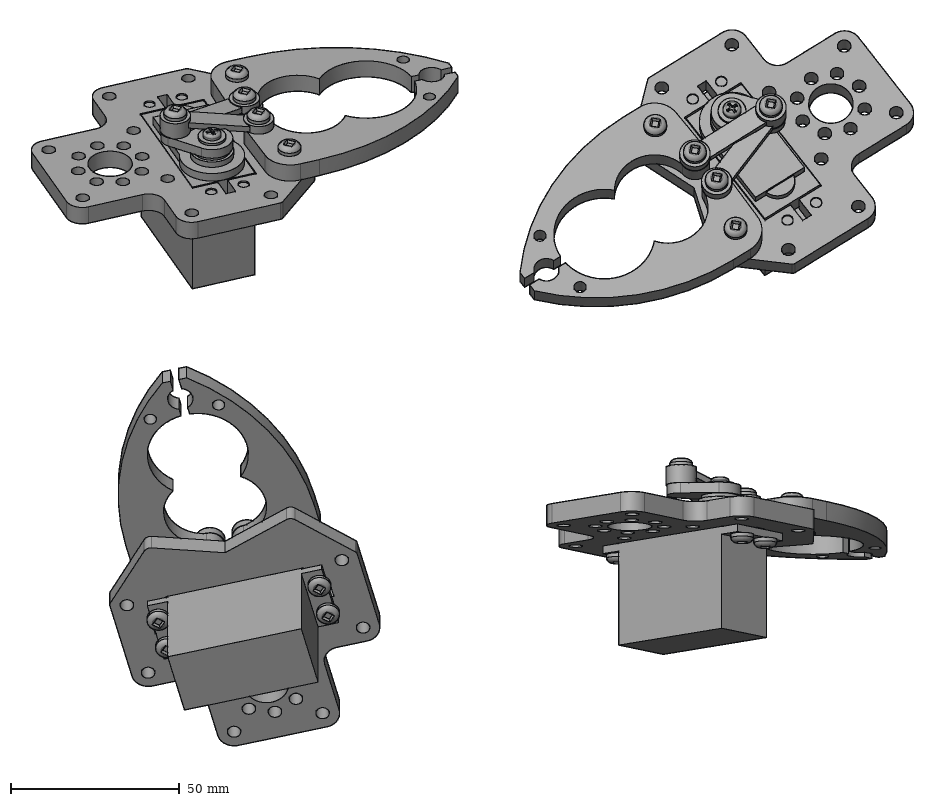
import cadquery as cq
import math


plate_thickness = 5.9
plate_width = 75.7
plate_half_width = plate_width / 2
tab_half_width = 18.6
wing_front_y = 27.2
wing_back_y = 59.1
notch_y = 68.7
plate_horn_x = 22.0
plate_horn_y = 76.4
plate_corner_radius = 5.0
wing_back_radius = 1.3
plate_horn_radius = 2.3
plate_hole_diameter = 4.0
wing_hole_x = 32.9
wing_hole_ys = (32.2, 57.5)
tab_hole_x = 13.5
tab_hole_ys = (5.2, 32.2)
wrist_y = 19.3
wrist_bore_diameter = 13.2
wrist_circle_radius = 10.2
wrist_hole_count = 8

servo_length = 40.9
servo_half_length = servo_length / 2
servo_front_y = 37.4
servo_back_y = 57.4
servo_bottom_z = -30.7
window_end_gap = 0.5
window_front_gap = 0.1
window_back_gap = 0.3
flange_thickness = 2.3
flange_half_length = 26.7
mount_y = 47.0
mount_screw_x = 24.6
mount_screw_pitch = 10.3
mount_hole_diameter = 3.4
mount_shank_recess = 0.5
slot_half_length = 27.3
slot_width = 3.1
gearbox_left_x = -14.2
gearbox_width = 17.7
gearbox_height = 2.7
gearbox_radius = 9.7
idler_x = -12.9
idler_radius = 5.2
idler_height = 1.9
shaft_x = 10.7
shaft_y = 47.6
collar_radius = 6.5
collar_height = 1.9
neck_radius = 5.5

jaw_thickness = 5.8
jaw_half_gap = 1.3
jaw_tip_y = 129.0
jaw_tip_x = 3.7
jaw_bottom_y = 60.5
jaw_pivot_x = 20.9
jaw_pivot_y = 68.2
jaw_heel_radius = 8.0
jaw_side_top_y = 74.5
jaw_eye_x = 5.7
jaw_eye_y = 64.5
jaw_eye_radius = jaw_eye_x - jaw_half_gap
upper_grip_y = 101.1
upper_grip_radius = 15.0
grip_cusp_x = 10.3
lower_grip_x = 15.3
lower_grip_y = 80.9
tip_grip_y = 122.0
tip_grip_radius = 3.7
jaw_hole_x = 10.5
jaw_hole_y = 117.1
jaw_hole_diameter = 3.6

horn_bottom_z = 11.7
horn_thickness = 3.1
horn_hub_radius = 6.2
horn_pin_x = 3.0
horn_pin_y = 39.0
horn_pin_radius = 4.3
horn_washer_radius = 4.1
horn_washer_height = 0.8
link_eye_radius = 4.5
link_eye_thickness = 2.7
link_arm_width = 6.3
link_arm_thickness = 1.9

head_diameter = 6.8
head_radius = head_diameter / 2
head_height = 2.5
head_rim_share = 0.45
head_flat_radius = 1.8
dome_bulge_share = 0.65
diamond_diagonal = 3.9
diamond_depth = 0.8
diamond_taper = 30
horn_head_radius = 2.7
horn_head_height = 1.7
horn_cross_length = 3.5
horn_cross_width = 0.8
horn_cross_depth = 1.0

plate_top_z = plate_thickness
jaw_top_z = plate_top_z + jaw_thickness
gearbox_top_z = plate_top_z + gearbox_height
collar_top_z = gearbox_top_z + collar_height
horn_top_z = horn_bottom_z + horn_thickness
link_stack_top_z = horn_top_z + 2 * link_eye_thickness


def cylinder(x, y, z, radius, height):
    return cq.Workplane("XY", origin=(x, y, z)).circle(radius).extrude(height)


def block(x_min, x_max, y_min, y_max, z_min, z_max):
    size = (x_max - x_min, y_max - y_min, z_max - z_min)
    return cq.Workplane("XY", origin=(x_min, y_min, z_min)).box(*size, centered=False)


def mirrored(body):
    return body.union(body.mirror("YZ"))


def pan_head(radius, height):
    """Domed screw head standing on Z = 0."""
    rim_height = head_rim_share * height
    dome_width = radius - head_flat_radius
    dome_height = height - rim_height
    dome_mid = (
        head_flat_radius + dome_bulge_share * dome_width,
        rim_height + dome_bulge_share * dome_height,
    )
    return (
        cq.Workplane("XZ")
        .lineTo(radius, 0)
        .lineTo(radius, rim_height)
        .threePointArc(dome_mid, (head_flat_radius, height))
        .lineTo(0, height)
        .close()
        .revolve(360, (0, 0), (0, 1))
    )


def diamond_head():
    """Large screw head with a tapered square recess, its corners on the X and Y axes."""
    recess = (
        cq.Workplane("XY", origin=(0, 0, head_height))
        .polygon(4, diamond_diagonal)
        .extrude(-diamond_depth, taper=diamond_taper)
    )
    return pan_head(head_radius, head_height).cut(recess)


def cross_head():
    """Small screw head of the servo horn, with a cross recess."""
    top_face = cq.Workplane("XY", origin=(0, 0, horn_head_height))
    recess = top_face.rect(horn_cross_length, horn_cross_width).extrude(-horn_cross_depth)
    recess = recess.union(top_face.rect(horn_cross_width, horn_cross_length).extrude(-horn_cross_depth))
    return pan_head(horn_head_radius, horn_head_height).cut(recess)


def base_plate():
    half_outline = [
        (0, 0),
        (tab_half_width, 0),
        (tab_half_width, wing_front_y),
        (plate_half_width, wing_front_y),
        (plate_half_width, wing_back_y),
        (plate_horn_x, plate_horn_y),
        (0, notch_y),
    ]
    half = cq.Workplane("XY").polyline(half_outline).close().extrude(plate_thickness)

    def round_corner(body, corner, radius):
        nearest = cq.selectors.NearestToPointSelector((*corner, plate_thickness / 2))
        return body.edges("|Z").edges(nearest).fillet(radius)

    for corner in half_outline[1:4]:
        half = round_corner(half, corner, plate_corner_radius)
    half = round_corner(half, half_outline[4], wing_back_radius)
    half = round_corner(half, half_outline[5], plate_horn_radius)
    plate = mirrored(half)

    side_holes = [(wing_hole_x, y) for y in wing_hole_ys] + [(tab_hole_x, y) for y in tab_hole_ys]
    for x, y in side_holes:
        plate = plate.cut(mirrored(cylinder(x, y, 0, plate_hole_diameter / 2, plate_thickness)))
    wrist_holes = (
        cq.Workplane("XY", origin=(0, wrist_y, 0))
        .polarArray(wrist_circle_radius, 0, 360, wrist_hole_count)
        .circle(plate_hole_diameter / 2)
        .extrude(plate_thickness)
    )
    bore = cylinder(0, wrist_y, 0, wrist_bore_diameter / 2, plate_thickness)
    plate = plate.cut(wrist_holes).cut(bore)

    window_half_length = servo_half_length + window_end_gap
    window = block(
        -window_half_length, window_half_length,
        servo_front_y - window_front_gap, servo_back_y + window_back_gap,
        0, plate_thickness,
    )
    slot = block(
        -slot_half_length, slot_half_length,
        mount_y - slot_width / 2, mount_y + slot_width / 2,
        0, plate_thickness,
    )
    return plate.cut(window).cut(slot)


def mount_positions():
    return [
        (side * mount_screw_x, mount_y + end * mount_screw_pitch / 2)
        for side in (-1, 1)
        for end in (-1, 1)
    ]


def servo():
    body = block(
        -servo_half_length, servo_half_length,
        servo_front_y, servo_back_y,
        servo_bottom_z, plate_top_z,
    )
    flange = block(
        -flange_half_length, flange_half_length,
        servo_front_y, servo_back_y,
        -flange_thickness, 0,
    )
    gearbox = block(
        gearbox_left_x, shaft_x,
        shaft_y - gearbox_width / 2, shaft_y + gearbox_width / 2,
        plate_top_z, gearbox_top_z,
    )
    turret = cylinder(shaft_x, shaft_y, plate_top_z, gearbox_radius, gearbox_height)
    idler = cylinder(idler_x, shaft_y, plate_top_z, idler_radius, idler_height)
    collar = cylinder(shaft_x, shaft_y, gearbox_top_z, collar_radius, collar_height)
    neck = cylinder(shaft_x, shaft_y, collar_top_z, neck_radius, horn_bottom_z - collar_top_z)
    for piece in (flange, gearbox, turret, idler, collar, neck):
        body = body.union(piece)
    return body


def jaw():
    """Right-hand jaw; the left one is its mirror image."""
    cusp_y = upper_grip_y - math.sqrt(upper_grip_radius**2 - grip_cusp_x**2)
    grip_top_y = upper_grip_y + math.sqrt(upper_grip_radius**2 - jaw_half_gap**2)
    tip_grip_half = math.sqrt(tip_grip_radius**2 - jaw_half_gap**2)
    heel_x = jaw_pivot_x + jaw_heel_radius
    heel_y = jaw_bottom_y + jaw_heel_radius
    heel_diagonal = jaw_heel_radius * math.sqrt(0.5)
    body = (
        cq.Workplane("XY", origin=(0, 0, plate_top_z))
        .moveTo(jaw_eye_x, jaw_eye_y - jaw_eye_radius)
        .lineTo(jaw_pivot_x, jaw_bottom_y)
        .threePointArc((jaw_pivot_x + heel_diagonal, heel_y - heel_diagonal), (heel_x, heel_y))
        .lineTo(heel_x, jaw_side_top_y)
        .tangentArcPoint((jaw_tip_x, jaw_tip_y), relative=False)
        .lineTo(jaw_half_gap, jaw_tip_y)
        .lineTo(jaw_half_gap, tip_grip_y + tip_grip_half)
        .threePointArc((tip_grip_radius, tip_grip_y), (jaw_half_gap, tip_grip_y - tip_grip_half))
        .lineTo(jaw_half_gap, grip_top_y)
        .threePointArc((upper_grip_radius, upper_grip_y), (grip_cusp_x, cusp_y))
        .threePointArc((lower_grip_x, lower_grip_y), (jaw_eye_x, jaw_eye_y + jaw_eye_radius))
        .threePointArc((jaw_half_gap, jaw_eye_y), (jaw_eye_x, jaw_eye_y - jaw_eye_radius))
        .close()
        .extrude(jaw_thickness)
    )
    return body.cut(cylinder(jaw_hole_x, jaw_hole_y, plate_top_z, jaw_hole_diameter / 2, jaw_thickness))


def servo_horn():
    """Tapered arm from the servo shaft to the drive pin."""
    dx = horn_pin_x - shaft_x
    dy = horn_pin_y - shaft_y
    direction = math.atan2(dy, dx)
    tangent_angle = math.acos((horn_hub_radius - horn_pin_radius) / math.hypot(dx, dy))

    def rim_point(x, y, radius, angle):
        return (x + radius * math.cos(angle), y + radius * math.sin(angle))

    first = direction - tangent_angle
    second = direction + tangent_angle
    sides = [
        rim_point(shaft_x, shaft_y, horn_hub_radius, first),
        rim_point(horn_pin_x, horn_pin_y, horn_pin_radius, first),
        rim_point(horn_pin_x, horn_pin_y, horn_pin_radius, second),
        rim_point(shaft_x, shaft_y, horn_hub_radius, second),
    ]
    web = cq.Workplane("XY", origin=(0, 0, horn_bottom_z)).polyline(sides).close().extrude(horn_thickness)
    hub = cylinder(shaft_x, shaft_y, horn_bottom_z, horn_hub_radius, horn_thickness)
    pin = cylinder(horn_pin_x, horn_pin_y, horn_bottom_z, horn_pin_radius, horn_thickness)
    washer = cylinder(shaft_x, shaft_y, horn_top_z, horn_washer_radius, horn_washer_height)
    return web.union(hub).union(pin).union(washer)


def link(side, pin_eye_z):
    """Link from one jaw up to the drive pin; its pin eye starts at pin_eye_z."""
    start_x = side * jaw_eye_x
    dx = horn_pin_x - start_x
    dy = horn_pin_y - jaw_eye_y
    length = math.hypot(dx, dy)
    arm_start = link_eye_radius - link_arm_thickness / 2
    low_z = jaw_top_z + (link_eye_thickness - link_arm_thickness) / 2
    high_z = pin_eye_z + (link_eye_thickness - link_arm_thickness) / 2
    arm_plane = cq.Plane(origin=(start_x, jaw_eye_y, 0), xDir=(dx, dy, 0), normal=(dy, -dx, 0))
    arm_profile = [
        (arm_start, low_z),
        (length, high_z),
        (length, high_z + link_arm_thickness),
        (arm_start, low_z + link_arm_thickness),
    ]
    arm = cq.Workplane(arm_plane).polyline(arm_profile).close().extrude(link_arm_width / 2, both=True)
    jaw_eye = cylinder(start_x, jaw_eye_y, jaw_top_z, link_eye_radius, link_eye_thickness)
    pin_eye = cylinder(horn_pin_x, horn_pin_y, pin_eye_z, link_eye_radius, link_eye_thickness)
    return arm.union(jaw_eye).union(pin_eye)


result = base_plate().union(servo()).union(mirrored(jaw())).union(servo_horn())
result = result.union(link(-1, horn_top_z))
result = result.union(link(1, horn_top_z + link_eye_thickness))

for x, y in mount_positions():
    shank_end_z = plate_top_z - mount_shank_recess
    result = result.cut(cylinder(x, y, shank_end_z, mount_hole_diameter / 2, mount_shank_recess))

top_heads = [
    (-jaw_pivot_x, jaw_pivot_y, jaw_top_z),
    (jaw_pivot_x, jaw_pivot_y, jaw_top_z),
    (-jaw_eye_x, jaw_eye_y, jaw_top_z + link_eye_thickness),
    (jaw_eye_x, jaw_eye_y, jaw_top_z + link_eye_thickness),
    (horn_pin_x, horn_pin_y, link_stack_top_z),
]
large_head = diamond_head()
for position in top_heads:
    result = result.union(large_head.translate(position))

horn_head_position = (shaft_x, shaft_y, horn_top_z + horn_washer_height)
result = result.union(cross_head().translate(horn_head_position))

for x, y in mount_positions():
    result = result.union(large_head.mirror("XY").translate((x, y, -flange_thickness)))